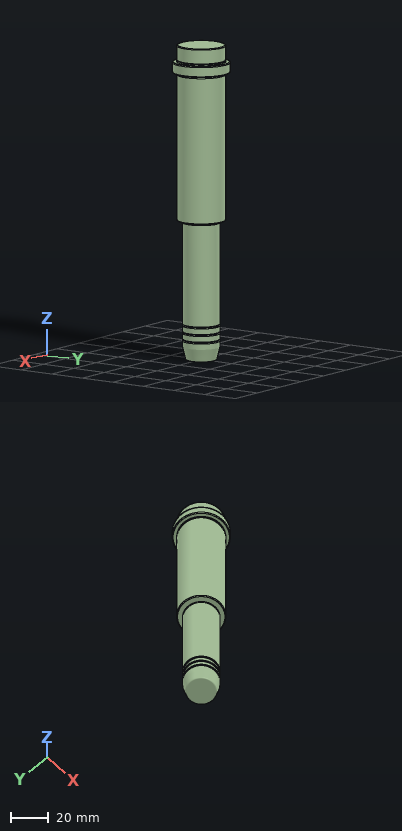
import cadquery as cq

total_length = 170.0
shank_top = 75.1
flange_bottom = 155.0
flange_height = 6.0
flange_top = flange_bottom + flange_height
taper_height = 7.0

flange_radius = 15.5
body_radius = 13.1
shank_radius = 10.0
tip_radius = 8.3

edge_chamfer = 0.5
tip_fillet = 0.7
relief_width = 1.0
relief_depth = 0.5

groove_count = 3
lowest_groove_center = 10.7
groove_pitch = 4.0
groove_width = 1.0
groove_depth = 0.5


def cylinder(radius, bottom, top):
    return cq.Workplane("XY").workplane(offset=bottom).circle(radius).extrude(top - bottom)


def ring_cutter(radius, depth, bottom, width):
    """Ring that removes the given depth from a cylinder of the given radius."""
    outside = cylinder(radius + depth, bottom, bottom + width)
    return outside.cut(cylinder(radius - depth, bottom, bottom + width))


def vee_cutter(radius, depth, center, width):
    """Ring of triangular section that leaves a V groove in a cylinder of the given radius."""
    return (
        cq.Workplane("XZ")
        .polyline([(radius, center - width / 2), (radius, center + width / 2), (radius - depth, center)])
        .close()
        .revolve(360, (0, 0, 0), (0, 1, 0))
    )


def make_shank():
    """Tapered guide end with a rounded tip and evenly spaced V-shaped grooves."""
    taper = (
        cq.Workplane("XZ")
        .polyline([(0, 0), (tip_radius, 0), (shank_radius, taper_height), (0, taper_height)])
        .close()
        .revolve(360, (0, 0, 0), (0, 1, 0))
        .faces("<Z").edges().fillet(tip_fillet)
    )
    shank = taper.union(cylinder(shank_radius, taper_height, shank_top))
    for index in range(groove_count):
        center = lowest_groove_center + index * groove_pitch
        shank = shank.cut(vee_cutter(shank_radius, groove_depth, center, groove_width))
    return shank.cut(ring_cutter(shank_radius, relief_depth, shank_top - relief_width, relief_width))


def make_body():
    """Main cylinder with V-shaped relief grooves on both sides of the flange."""
    body = cylinder(body_radius, shank_top, total_length).edges().chamfer(edge_chamfer)
    for bottom in (flange_bottom - relief_width, flange_top):
        center = bottom + relief_width / 2
        body = body.cut(vee_cutter(body_radius, relief_depth, center, relief_width))
    return body


def make_flange():
    return cylinder(flange_radius, flange_bottom, flange_top).edges().chamfer(edge_chamfer)


result = make_shank().union(make_body()).union(make_flange())